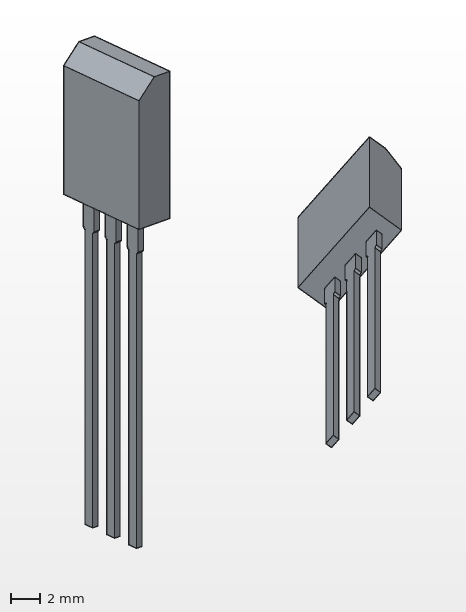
import cadquery as cq

TOTAL_HEIGHT = 35.5
HOUSING_WIDTH = 7.8
HOUSING_DEPTH = 2.8
HOUSING_HEIGHT = 11.0
BEVEL_SIZE = 1.4

LEAD_COUNT = 3
LEAD_PITCH = 2.27
LEAD_THICKNESS = 0.5
LEAD_FRONT_OFFSET = 0.85
WIDE_LEAD_WIDTH = 1.15
NARROW_LEAD_WIDTH = 0.8
WIDE_LEAD_LENGTH = 2.3
SHOULDER_HEIGHT = 0.18

HOUSING_FRONT_Y = -HOUSING_DEPTH / 2
HOUSING_BACK_Y = HOUSING_DEPTH / 2
HOUSING_BOTTOM_Z = -HOUSING_HEIGHT
LEAD_BACK_Y = HOUSING_FRONT_Y + LEAD_FRONT_OFFSET + LEAD_THICKNESS
SHOULDER_TOP_Z = HOUSING_BOTTOM_Z - WIDE_LEAD_LENGTH
SHOULDER_BOTTOM_Z = SHOULDER_TOP_Z - SHOULDER_HEIGHT
LEAD_TIP_Z = -TOTAL_HEIGHT


def make_housing():
    """Block with its top front edge bevelled, extruded across its width."""
    profile = [
        (HOUSING_FRONT_Y, HOUSING_BOTTOM_Z),
        (HOUSING_BACK_Y, HOUSING_BOTTOM_Z),
        (HOUSING_BACK_Y, 0),
        (HOUSING_FRONT_Y + BEVEL_SIZE, 0),
        (HOUSING_FRONT_Y, -BEVEL_SIZE),
    ]
    return cq.Workplane("YZ").polyline(profile).close().extrude(HOUSING_WIDTH / 2, both=True)


def make_lead(center_x):
    """Flat lead hanging from the housing bottom, narrowing at its shoulder."""
    wide_half = WIDE_LEAD_WIDTH / 2
    narrow_half = NARROW_LEAD_WIDTH / 2
    outline = [
        (center_x - wide_half, HOUSING_BOTTOM_Z),
        (center_x + wide_half, HOUSING_BOTTOM_Z),
        (center_x + wide_half, SHOULDER_TOP_Z),
        (center_x + narrow_half, SHOULDER_BOTTOM_Z),
        (center_x + narrow_half, LEAD_TIP_Z),
        (center_x - narrow_half, LEAD_TIP_Z),
        (center_x - narrow_half, SHOULDER_BOTTOM_Z),
        (center_x - wide_half, SHOULDER_TOP_Z),
    ]
    back_plane = cq.Workplane("XZ", origin=(0, LEAD_BACK_Y, 0))
    return back_plane.polyline(outline).close().extrude(LEAD_THICKNESS)


housing = make_housing()

leads = []
for index in range(LEAD_COUNT):
    offset_from_middle = index - (LEAD_COUNT - 1) / 2
    leads.append(make_lead(offset_from_middle * LEAD_PITCH))

result = cq.Compound.makeCompound([housing.val(), *[lead.val() for lead in leads]])